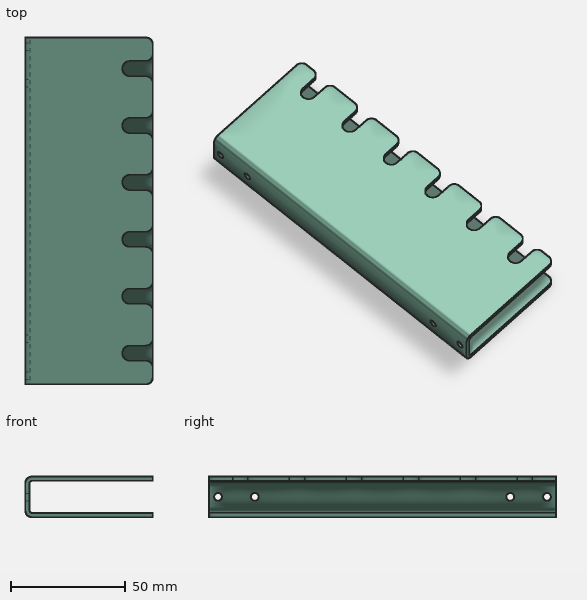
import cadquery as cq

depth = 56.0
length = 152.0
height = 18.0
thickness = 2.0
bend_radius = 3.0
corner_radius = 3.0

slot_count = 6
slot_pitch = 25.0
slot_width = 6.7
slot_depth = 13.4
mouth_radius = 3.0

hole_diameter = 3.3
outer_hole_offset = 72.0
inner_hole_offset = 56.0


def block(x_size, y_size, z_size):
    """Box starting at X = 0 and Z = 0, centred on Y."""
    return cq.Workplane("XY").box(x_size, y_size, z_size, centered=(False, True, False))


def make_channel():
    """Bent sheet: a web at X = 0 with two flanges, open towards +X."""
    outside = block(depth, length, height).edges("|Y and <X").fillet(bend_radius)
    inside = (
        block(depth, length, height - 2 * thickness)
        .edges("|Y and <X")
        .fillet(bend_radius - thickness)
        .translate((thickness, 0, thickness))
    )
    return outside.cut(inside).edges("|Z and >X").fillet(corner_radius)


def slot_cutter(y_center):
    """Round-ended slot whose mouth flares out to the open edge."""
    half_width = slot_width / 2
    half_mouth = half_width + mouth_radius
    end_center = depth - slot_depth + half_width
    flare_start = depth - mouth_radius
    flare_mid = mouth_radius * 0.5**0.5
    return (
        cq.Workplane("XY", origin=(0, y_center, height - thickness))
        .moveTo(depth, half_mouth)
        .threePointArc((flare_start + flare_mid, half_mouth - flare_mid), (flare_start, half_width))
        .lineTo(end_center, half_width)
        .threePointArc((end_center - half_width, 0), (end_center, -half_width))
        .lineTo(flare_start, -half_width)
        .threePointArc((flare_start + flare_mid, flare_mid - half_mouth), (depth, -half_mouth))
        .close()
        .extrude(thickness)
    )


def web_holes():
    """Four holes on the mid-height of the web, symmetric about Y = 0."""
    offsets = (outer_hole_offset, inner_hole_offset)
    points = [(side * offset, 0) for offset in offsets for side in (-1, 1)]
    return (
        cq.Workplane("YZ", origin=(0, 0, height / 2))
        .pushPoints(points)
        .circle(hole_diameter / 2)
        .extrude(thickness)
    )


result = make_channel().cut(web_holes())
for index in range(slot_count):
    result = result.cut(slot_cutter((index - (slot_count - 1) / 2) * slot_pitch))